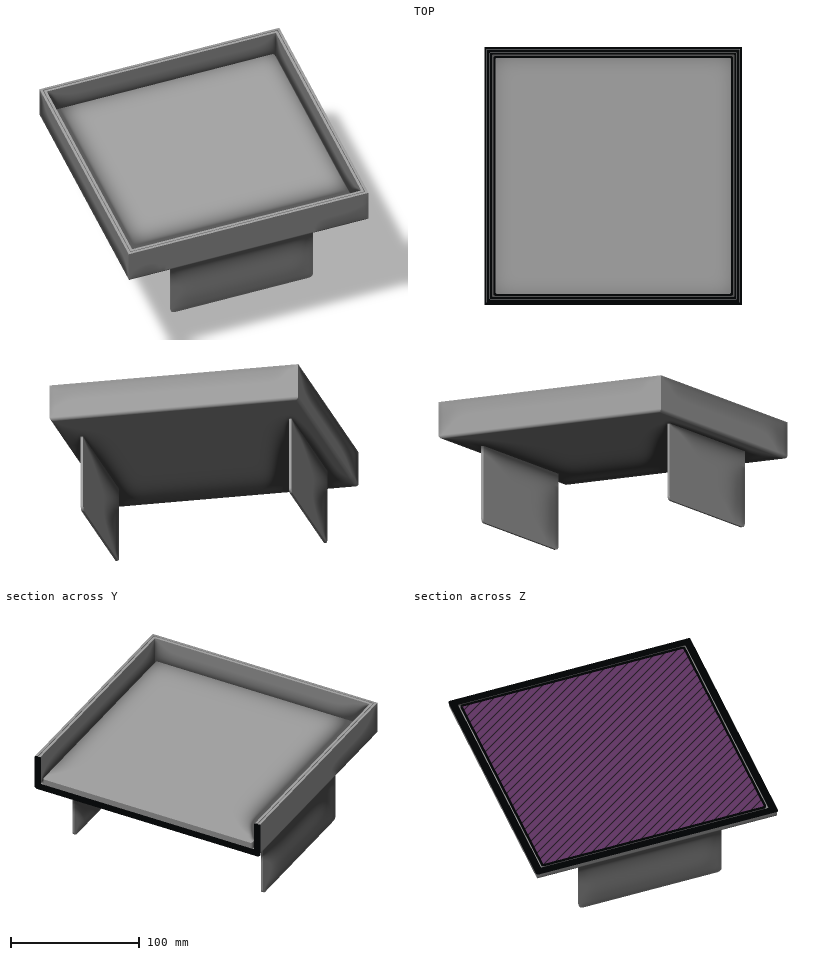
import cadquery as cq

SHEET = 2.0
INNER_BEND_RADIUS = 0.5
OUTER_BEND_RADIUS = INNER_BEND_RADIUS + SHEET

OUTER_SIDE = 199.0
TOTAL_HEIGHT = 90.0
RIM_Z = 29.0

TRAY_GAP = 0.5
INNER_SIDE = OUTER_SIDE - 2 * (SHEET + TRAY_GAP)

PANEL_SIDE = 185.0
PANEL_BOTTOM_Z = 2 * SHEET
PANEL_THICKNESS = 5.8
PANEL_CORNER_RADIUS = 1.5

LEG_HEIGHT = TOTAL_HEIGHT - RIM_Z
LEG_WIDTH = 118.0
LEG_CORNER_RADIUS = 3.4
LEG_INSET = 15.1
LEG_OFFSET = OUTER_SIDE / 2 - LEG_INSET - SHEET / 2


def square_block(side, bottom, top):
    """Square block centred on the Z axis."""
    return cq.Workplane("XY").workplane(offset=bottom).rect(side, side).extrude(top - bottom)


def make_tray(side, bottom):
    """Open sheet-metal tray with rounded bends between floor and walls."""
    outside = square_block(side, bottom, RIM_Z)
    outside = outside.faces("<Z").edges().fillet(OUTER_BEND_RADIUS)
    cavity = square_block(side - 2 * SHEET, bottom + SHEET, RIM_Z)
    cavity = cavity.faces("<Z").edges().fillet(INNER_BEND_RADIUS)
    return outside.cut(cavity)


def make_leg(x):
    """Upright plate centred at x, with rounded lower corners."""
    leg = cq.Workplane("XY").box(SHEET, LEG_WIDTH, LEG_HEIGHT)
    leg = leg.edges("|X and <Z").fillet(LEG_CORNER_RADIUS)
    return leg.translate((x, 0, -LEG_HEIGHT / 2))


def make_outer_tray():
    """Outer tray together with its two legs."""
    tray = make_tray(OUTER_SIDE, 0)
    for direction in (-1, 1):
        tray = tray.union(make_leg(direction * LEG_OFFSET))
    return tray


def make_panel():
    """Flat square panel with rounded vertical corners."""
    panel = square_block(PANEL_SIDE, PANEL_BOTTOM_Z, PANEL_BOTTOM_Z + PANEL_THICKNESS)
    return panel.edges("|Z").fillet(PANEL_CORNER_RADIUS)


outer_tray = make_outer_tray()
inner_tray = make_tray(INNER_SIDE, SHEET)
panel = make_panel()

result = cq.Compound.makeCompound([outer_tray.val(), inner_tray.val(), panel.val()])